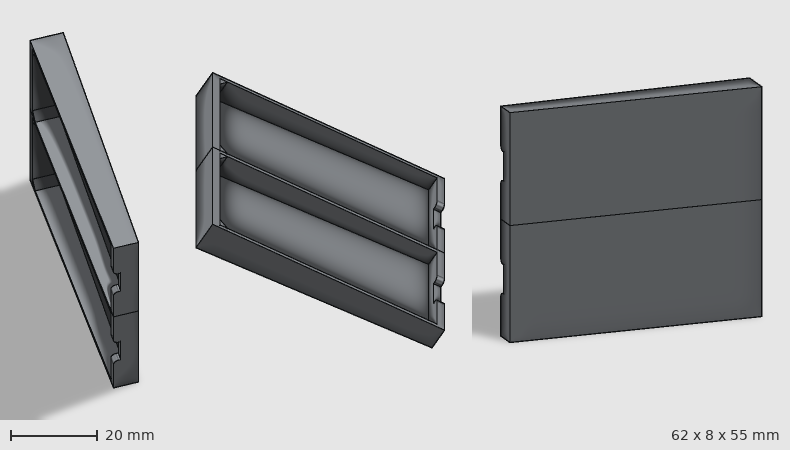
import cadquery as cq

length = 62.0
height = 55.0
thick_end = 8.0
thin_end = 6.0

side_wall = 2.0
cross_wall = 1.0
floor = 2.0
gusset_leg = 2.0

notch_width = 7.0
notch_depth = 1.75
notch_round = 1.25

pocket_length = length - 2 * side_wall
pocket_height = (height - 3 * cross_wall) / 2
pitch = pocket_height + cross_wall
tray_bottoms = [0, pitch]
pocket_depth = thick_end - floor


def wedge(bottom, top):
    """Block between two Z levels whose front face tapers from -X to +X."""
    return (
        cq.Workplane("XY")
        .workplane(offset=bottom)
        .polyline([(0, 0), (length, 0), (length, -thin_end), (0, -thick_end)])
        .close()
        .extrude(top - bottom)
    )


def cut_notch(tray, center):
    """Cut the notch through the +X wall and round the two edges of its mouth."""
    wall_center = length - side_wall / 2
    floor_y = -(thin_end - notch_depth)
    cutter = cq.Workplane("XY").box(side_wall, thick_end, notch_width)
    cutter = cutter.translate((wall_center, floor_y - thick_end / 2, center))
    notched = tray.cut(cutter)
    edge_box = cq.selectors.BoxSelector(
        (length - side_wall, -thick_end, center - notch_width / 2 - notch_round),
        (length, floor_y - notch_depth / 2, center + notch_width / 2 + notch_round),
    )
    mouth_edges = notched.edges(edge_box).edges("not |Z").edges("not |Y")
    return mouth_edges.fillet(notch_round)


def make_tray(bottom, top):
    """Tapered tray; the pocket above the bottom wall is open to the front."""
    pocket_bottom = bottom + cross_wall
    pocket = cq.Workplane("XY").box(pocket_length, pocket_depth, pocket_height, centered=False)
    pocket = pocket.translate((side_wall, -thick_end, pocket_bottom))
    tray = wedge(bottom, top).cut(pocket)
    return cut_notch(tray, pocket_bottom + pocket_height / 2)


def make_gusset(corner_z, direction):
    """Triangular corner filler, from the pocket floor to flush with the tapered front."""
    prism = (
        cq.Workplane("XZ")
        .workplane(offset=floor)
        .moveTo(side_wall, corner_z)
        .lineTo(side_wall + gusset_leg, corner_z)
        .lineTo(side_wall, corner_z + direction * gusset_leg)
        .close()
        .extrude(pocket_depth)
    )
    return prism.intersect(wedge(0, height))


middle_wall_top = pitch + cross_wall
lower_tray = make_tray(0, middle_wall_top)
upper_tray = make_tray(pitch, height).cut(wedge(0, middle_wall_top))

gussets = []
for tray_bottom in tray_bottoms:
    pocket_bottom = tray_bottom + cross_wall
    gussets.append(make_gusset(pocket_bottom, 1))
    gussets.append(make_gusset(pocket_bottom + pocket_height, -1))

result = cq.Compound.makeCompound(
    [lower_tray.val(), upper_tray.val(), *[gusset.val() for gusset in gussets]]
)